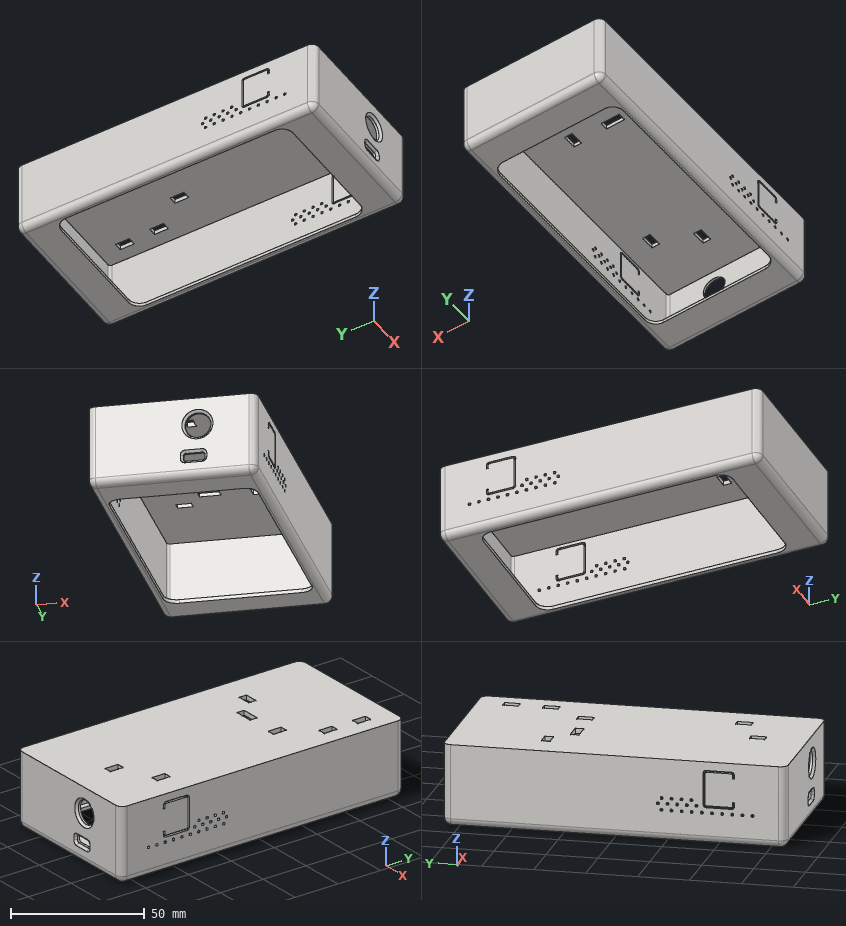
import cadquery as cq

WIDTH = 65.0
LENGTH = 132.5
HEIGHT = 32.0
EDGE_RADIUS = 3.0
END_WALL = 2.0
SIDE_WALL = 1.5
LID = END_WALL
FLOOR = SIDE_WALL
CUT_DEPTH = 2 * END_WALL

OPENING_LEDGE = 2.5
OPENING_WIDTH = WIDTH - 2 * (SIDE_WALL + OPENING_LEDGE)
OPENING_LENGTH = 102.5
OPENING_RADIUS = 5.0

SLOT_WIDTH = 3.3
SLOT_LENGTH = 6.0
LONG_SLOT_LENGTH = 8.2
SLOTS_ALONG_Y = [(23.7, 52.9), (23.3, 37.5), (12.6, 21.7), (19.6, -37.8), (2.6, -47.0)]
SLOT_ALONG_X = (-16.7, 29.5)
LONG_SLOT_ALONG_X = (-5.2, 20.8)

COUNTERSINK = 1.0
FLARE_ANGLE = 45
JACK_CENTRE = (9.7, 21.3)
JACK_DIAMETER = 10.0
USB_CENTRE = (8.2, 8.6)
USB_WIDTH = 8.2
USB_HEIGHT = 3.2
USB_RADIUS = 0.9

DOT_DIAMETER = 1.0
DOT_ROWS = [(-18.2, -29.5, 16.7, 4), (-16.7, -31.5, 14.6, 5), (-18.0, -53.1, 12.0, 10)]

SLIT_WIDTH = 0.7
SLIT_BACK_Y = -34.5
SLIT_FRONT_Y = -45.8
SLIT_TOP_Z = 28.4
SLIT_BOTTOM_Z = 14.5
SLIT_RADIUS = 0.9
SLIT_GAP_TOP_Z = 26.1
SLIT_GAP_BOTTOM_Z = 16.7


def box_from(bottom_z, width, length, height):
    """Box centred on X and Y that rises from bottom_z."""
    base = cq.Workplane("XY").workplane(offset=bottom_z)
    return base.box(width, length, height, centered=(True, True, False))


def make_case():
    """Hollow box with a closed lid and a ledge around the floor opening."""
    outside = box_from(0, WIDTH, LENGTH, HEIGHT).edges("|Z").fillet(EDGE_RADIUS)
    outside = outside.faces("<Z").edges().fillet(EDGE_RADIUS)
    inner_radius = EDGE_RADIUS - END_WALL
    cavity = box_from(FLOOR, WIDTH - 2 * SIDE_WALL, LENGTH - 2 * END_WALL, HEIGHT - LID - FLOOR)
    cavity = cavity.edges("|Z").fillet(inner_radius)
    opening = box_from(0, OPENING_WIDTH, OPENING_LENGTH, CUT_DEPTH)
    opening = opening.edges("|Z").fillet(OPENING_RADIUS)
    return outside.cut(cavity).cut(opening)


def lid_slots():
    """Rectangular cutters that pass through the lid only."""
    lid_top = cq.Workplane("XY").workplane(offset=HEIGHT)
    slots = lid_top.pushPoints(SLOTS_ALONG_Y).rect(SLOT_WIDTH, SLOT_LENGTH).extrude(-CUT_DEPTH)
    slots = slots.union(lid_top.center(*SLOT_ALONG_X).rect(SLOT_LENGTH, SLOT_WIDTH).extrude(-CUT_DEPTH))
    long_slot = lid_top.center(*LONG_SLOT_ALONG_X).rect(LONG_SLOT_LENGTH, SLOT_WIDTH).extrude(-CUT_DEPTH)
    return slots.union(long_slot)


def connector_holes():
    """Round jack hole and rounded USB hole, each flared at 45 degrees where it meets the outside."""
    wall = cq.Workplane("XZ", origin=(0, -LENGTH / 2, 0))
    jack = wall.center(*JACK_CENTRE)
    jack_bore = jack.circle(JACK_DIAMETER / 2).extrude(-CUT_DEPTH)
    jack_flare = jack.circle(JACK_DIAMETER / 2 + COUNTERSINK).extrude(-COUNTERSINK, taper=FLARE_ANGLE)

    usb = wall.center(*USB_CENTRE)
    usb_bore = usb.rect(USB_WIDTH, USB_HEIGHT).extrude(-CUT_DEPTH).edges("|Y").fillet(USB_RADIUS)
    flare_shape = cq.Sketch().rect(USB_WIDTH + 2 * COUNTERSINK, USB_HEIGHT + 2 * COUNTERSINK)
    flare_shape = flare_shape.vertices().fillet(USB_RADIUS + COUNTERSINK)
    usb_flare = usb.placeSketch(flare_shape).extrude(-COUNTERSINK, taper=FLARE_ANGLE)
    return jack_flare.union(jack_bore).union(usb_flare).union(usb_bore)


def side_dots():
    """Evenly spaced rows of pins along X, long enough to cross the whole case."""
    points = []
    for first_y, last_y, z, count in DOT_ROWS:
        pitch = (last_y - first_y) / (count - 1)
        points += [(first_y + i * pitch, z) for i in range(count)]
    return cq.Workplane("YZ").pushPoints(points).circle(DOT_DIAMETER / 2).extrude(WIDTH, both=True)


def slit_block(grow, radius):
    """Rounded block spanning the case, its outline offset from the slit centreline."""
    length = SLIT_BACK_Y - SLIT_FRONT_Y + 2 * grow
    height = SLIT_TOP_Z - SLIT_BOTTOM_Z + 2 * grow
    block = cq.Workplane("XY").box(2 * WIDTH, length, height).edges("|X").fillet(radius)
    return block.translate((0, (SLIT_BACK_Y + SLIT_FRONT_Y) / 2, (SLIT_TOP_Z + SLIT_BOTTOM_Z) / 2))


def side_slit():
    """Thin rounded frame, interrupted by a gap on its -Y side."""
    half = SLIT_WIDTH / 2
    frame = slit_block(half, SLIT_RADIUS + half).cut(slit_block(-half, SLIT_RADIUS - half))
    gap = cq.Workplane("XY").box(2 * WIDTH, 2 * SLIT_WIDTH, SLIT_GAP_TOP_Z - SLIT_GAP_BOTTOM_Z)
    return frame.cut(gap.translate((0, SLIT_FRONT_Y, (SLIT_GAP_TOP_Z + SLIT_GAP_BOTTOM_Z) / 2)))


result = make_case().cut(lid_slots()).cut(connector_holes()).cut(side_dots()).cut(side_slit())